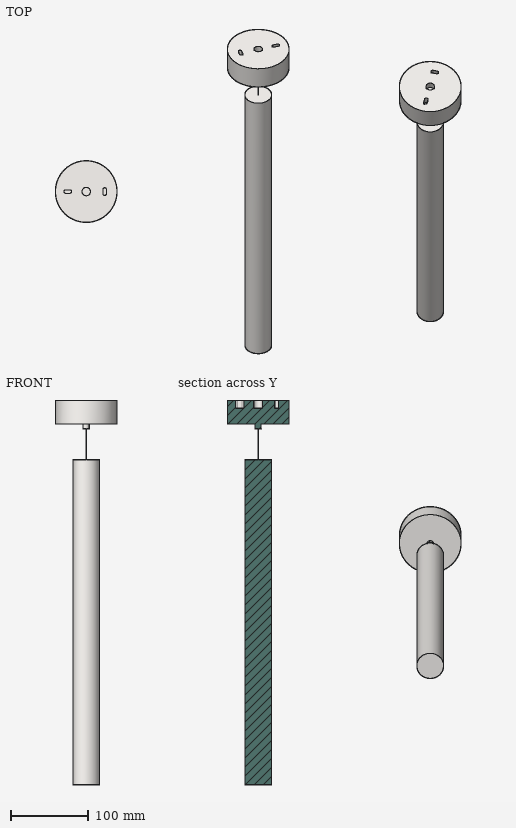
import cadquery as cq

total_height = 496.5

canopy_diameter = 80.0
canopy_height = 31.0

gland_diameter = 8.5
gland_height = 6.0

cord_diameter = 1.0

shade_diameter = 35.0
shade_height = 420.0

cable_hole_diameter = 11.0
mount_slot_offset = 24.0
mount_slot_length = 10.0
mount_slot_width = 4.5
recess_depth = 10.0

canopy_bottom = total_height - canopy_height
gland_bottom = canopy_bottom - gland_height


def cylinder(diameter, bottom, top):
    """Upright cylinder on the Z axis between two heights."""
    return cq.Workplane("XY").workplane(offset=bottom).circle(diameter / 2).extrude(top - bottom)


def mount_slot(x, angle):
    """Blind round-ended screw slot sunk into the canopy top."""
    return (
        cq.Workplane("XY")
        .workplane(offset=total_height)
        .center(x, 0)
        .slot2D(mount_slot_length, mount_slot_width, angle)
        .extrude(-recess_depth)
    )


canopy = cylinder(canopy_diameter, canopy_bottom, total_height)
cable_hole = cylinder(cable_hole_diameter, total_height - recess_depth, total_height)
canopy = canopy.cut(cable_hole)

canopy = canopy.cut(mount_slot(-mount_slot_offset, 0))
canopy = canopy.cut(mount_slot(mount_slot_offset, 90))

gland = cylinder(gland_diameter, gland_bottom, canopy_bottom)
cord = cylinder(cord_diameter, shade_height, gland_bottom)
shade = cylinder(shade_diameter, 0, shade_height)

result = canopy.union(gland).union(cord).union(shade)